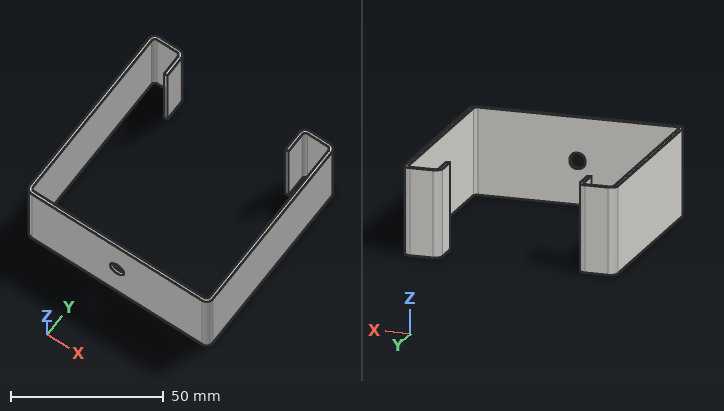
import cadquery as cq

width = 73.5
depth = 72.0
height = 30.0

thickness = 1.25
outer_bend_radius = 2.5
middle_bend_radius = outer_bend_radius - thickness / 2

hook_width = 13.0
hook_length = 10.25

hole_diameter = 5.5


def sheet_midline():
    """Middle of the sheet from one hook tip to the other, with rounded bends."""
    wall_x = (width - thickness) / 2
    wall_y = (depth - thickness) / 2
    hook_x = wall_x - (hook_width - thickness)
    tip_y = depth / 2 - hook_length

    right_half = [
        (wall_x, -wall_y),
        (wall_x, wall_y),
        (hook_x, wall_y),
        (hook_x, tip_y),
    ]
    left_half = [(-x, y) for x, y in reversed(right_half)]
    corners = [cq.Vector(x, y, 0) for x, y in left_half + right_half]

    sharp_line = cq.Wire.makePolygon(corners)
    bends = sharp_line.Vertices()[1:-1]
    return sharp_line.fillet2D(middle_bend_radius, bends)


def bent_strip():
    """Sheet section carried along the midline from one hook tip."""
    midline = sheet_midline()
    section_plane = cq.Plane(
        origin=midline.startPoint(),
        xDir=(1, 0, 0),
        normal=midline.tangentAt(0),
    )
    section = cq.Workplane(section_plane).rect(thickness, height)
    return section.sweep(cq.Workplane(obj=midline))


def wall_hole():
    """Cutter along Y that reaches only the closed wall."""
    return (
        cq.Workplane("XZ", origin=(0, -depth / 2 + thickness, 0))
        .circle(hole_diameter / 2)
        .extrude(thickness)
    )


result = cq.Workplane(bent_strip().cut(wall_hole()).solids().val())